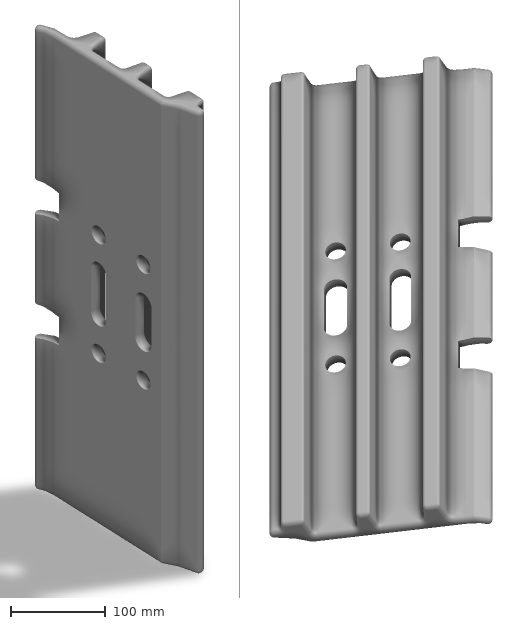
import cadquery as cq
length = 600.0
plate_thickness = 12.5
crest_height = 38.5

lip_bend = (24.5, 0)
lip_crease = (12.5, -2.0)
lip_tip_front = (2.5, -6.5)
lip_tip_back = (-2.0, 3.0)
lip_back_y = 11.0
lip_back_start_x = 17.5
lip_back_end_x = 29.0

step_start = (194.0, 0)
step_end = (210.5, 9.0)
nose_tip_front = (237.0, 16.0)
nose_tip_back = (234.0, 26.0)
rear_root = (222.5, 26.5)

front_foot_x = (44.0, 71.5)
front_crest_x = (50.0, 67.0)
middle_foot_x = (120.0, 143.0)
middle_crest_x = (125.0, 139.0)
rear_foot_x = 190.0
rear_crest_x = (195.5, 219.5)
front_root_y = 12.0

root_radius = 5.5
front_root_radius = 8.5
rear_root_radius = 3.5
crest_radius = 3.0
bend_radius = 7.0
rim_radius = 5.0

hole_diameter = 22.0
front_row_x = 96.5
front_hole_z = 77.0
front_slot_length = 81.5
front_slot_width = 23.5
rear_row_x = 166.0
rear_hole_z = 75.0
rear_slot_length = 74.5
rear_slot_width = 25.0

notch_start_x = -6.0
notch_end_x = 35.0
notch_z = 80.5
notch_mouth = 47.5
notch_floor = 36.0


def edge_at(body, point):
    """Select the long edge along Z that passes through an outline point."""
    return body.edges(cq.selectors.NearestToPointSelector((*point, 0)))


def round_edges(body, points, radius):
    for point in points:
        body = edge_at(body, point).fillet(radius)
    return body


def make_body():
    """Extrude the cross-section, then round its corners, the lip tips and the rims of both ends."""
    front_root = (front_foot_x[0], front_root_y)
    roots = [(x, plate_thickness) for x in (front_foot_x[1], *middle_foot_x, rear_foot_x)]
    front_crest, middle_crest, rear_crest = (
        [(x, crest_height) for x in pair] for pair in (front_crest_x, middle_crest_x, rear_crest_x)
    )
    outline = [
        lip_bend,
        lip_crease,
        lip_tip_front,
        lip_tip_back,
        (lip_back_start_x, lip_back_y),
        (lip_back_end_x, lip_back_y),
        front_root,
        *front_crest,
        *roots[:2],
        *middle_crest,
        *roots[2:],
        *rear_crest,
        rear_root,
        nose_tip_back,
        nose_tip_front,
        step_end,
        step_start,
    ]
    body = cq.Workplane("XY").polyline(outline).close().extrude(length / 2, both=True)

    body = round_edges(body, roots, root_radius)
    body = round_edges(body, [front_root], front_root_radius)
    body = round_edges(body, [rear_root], rear_root_radius)
    body = round_edges(body, [lip_bend, lip_crease, step_end], bend_radius)
    body = round_edges(body, front_crest + middle_crest + rear_crest, crest_radius)

    rim = body.faces("<Z or >Z").edges().vals()
    for tip in (lip_tip_front, lip_tip_back, nose_tip_front, nose_tip_back):
        rim += edge_at(body, tip).vals()
    return body.newObject(rim).fillet(rim_radius)


def cut_bolt_row(body, x, hole_z, slot_length, slot_width):
    """Cut two round holes and the upright slot between them through the plate."""
    row = cq.Workplane("XZ").center(x, 0)
    holes = row.pushPoints([(0, hole_z), (0, -hole_z)]).circle(hole_diameter / 2).extrude(-crest_height)
    slot = row.slot2D(slot_length, slot_width, 90).extrude(-crest_height)
    return body.cut(holes).cut(slot)


def cut_notch(body, z):
    """Cut a notch that narrows from the lip edge towards its floor."""
    notch = (
        cq.Workplane("XZ")
        .moveTo(notch_start_x, z - notch_mouth / 2)
        .lineTo(notch_end_x, z - notch_floor / 2)
        .lineTo(notch_end_x, z + notch_floor / 2)
        .lineTo(notch_start_x, z + notch_mouth / 2)
        .close()
        .extrude(crest_height, both=True)
    )
    return body.cut(notch)


result = make_body()
result = cut_bolt_row(result, front_row_x, front_hole_z, front_slot_length, front_slot_width)
result = cut_bolt_row(result, rear_row_x, rear_hole_z, rear_slot_length, rear_slot_width)
for side in (-1, 1):
    result = cut_notch(result, side * notch_z)